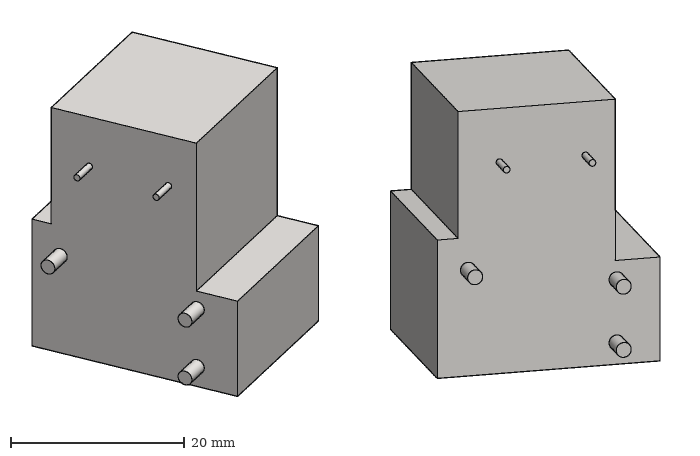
import cadquery as cq

base_width = 26.7
height = 32.0
housing_depth = 20.48
left_step_width = 2.5
left_shoulder_height = 16.7
right_step_width = 5.35
right_shoulder_height = 12.55

pin_length = 3.15
power_pin_diameter = 1.8
signal_pin_diameter = 0.8

left_pin_x = 3.68
right_pin_x = left_pin_x + 17.8
lower_pin_z = 2.65
upper_pin_z = lower_pin_z + 7.6
left_pin_z = lower_pin_z + 10.18
signal_pin_z = lower_pin_z + 22.85
first_signal_pin_x = left_pin_x + 3.78
signal_pin_pitch = 10.27

power_pin_places = [
    (left_pin_x, left_pin_z),
    (right_pin_x, upper_pin_z),
    (right_pin_x, lower_pin_z),
]
signal_pin_places = [
    (first_signal_pin_x, signal_pin_z),
    (first_signal_pin_x + signal_pin_pitch, signal_pin_z),
]


def make_housing():
    """Stepped block with its front face on the XZ plane, extending toward +Y."""
    tower_left = left_step_width
    tower_right = base_width - right_step_width
    outline = [
        (0, 0),
        (base_width, 0),
        (base_width, right_shoulder_height),
        (tower_right, right_shoulder_height),
        (tower_right, height),
        (tower_left, height),
        (tower_left, left_shoulder_height),
        (0, left_shoulder_height),
    ]
    return cq.Workplane("XZ").polyline(outline).close().extrude(-housing_depth)


def add_pins(body, places, diameter):
    """Add round pins running from the front face toward -Y."""
    pins = cq.Workplane("XZ").pushPoints(places).circle(diameter / 2).extrude(pin_length)
    return body.union(pins)


result = make_housing()
result = add_pins(result, power_pin_places, power_pin_diameter)
result = add_pins(result, signal_pin_places, signal_pin_diameter)